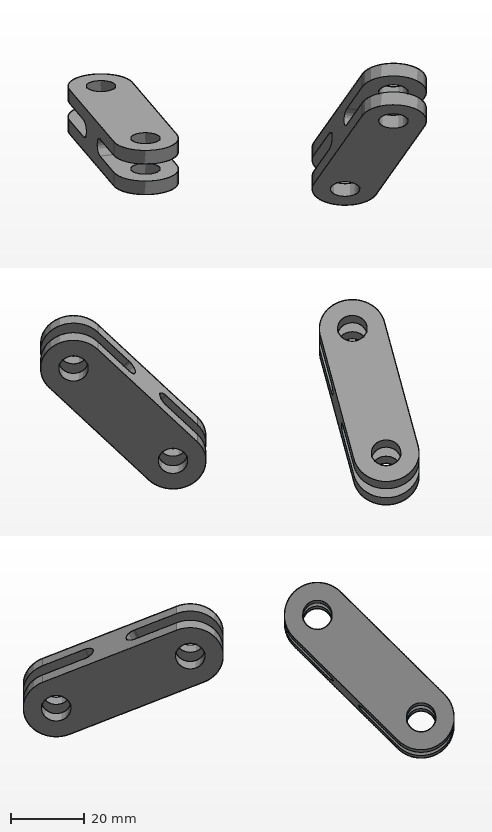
import cadquery as cq

length = 58.0
width = 18.0
height = 13.0
hole_diameter = 8.0
slot_height = 5.0
web_thickness = 9.8

hole_spacing = length - width
slot_reach = length


def clevis_slot(side):
    """Full-width slot, open at one end of the link and fully rounded at the web."""
    center_x = side * (web_thickness + slot_reach) / 2
    return (
        cq.Workplane("XZ")
        .center(center_x, 0)
        .slot2D(slot_reach, slot_height)
        .extrude(width / 2, both=True)
    )


body = cq.Workplane("XY").slot2D(length, width).extrude(height / 2, both=True)

pin_holes = (
    cq.Workplane("XY")
    .pushPoints([(-hole_spacing / 2, 0), (hole_spacing / 2, 0)])
    .circle(hole_diameter / 2)
    .extrude(height / 2, both=True)
)

result = body.cut(pin_holes)
for side in (-1, 1):
    result = result.cut(clevis_slot(side))